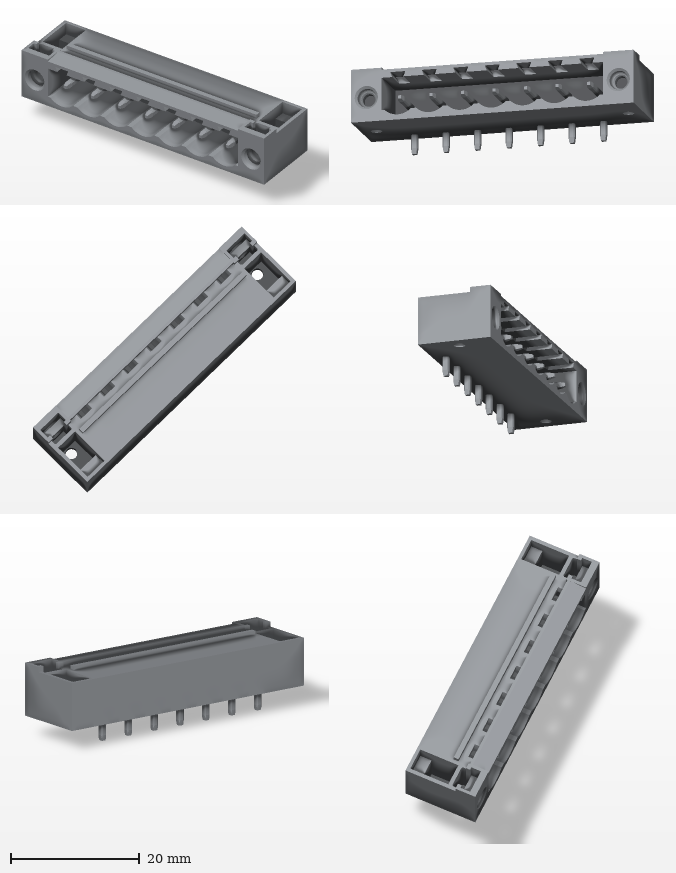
import cadquery as cq


length = 45.55
depth = 12.0
height = 8.5
half_length = length / 2
rear_drop = 0.8
deck_z = height - rear_drop
end_block_depth = 3.4

roof_depth = 3.2
roof_flat_start = 2.75
roof_fall = 0.3

rib_front = 5.2
rib_width = 0.8
rib_height = 0.7

contact_count = 7
contact_span = 30.5
pitch = contact_span / (contact_count - 1)
contact_xs = [-contact_span / 2 + i * pitch for i in range(contact_count)]
axis_z = 3.85

cavity_width = 35.67
cavity_floor_z = 1.7
cavity_ceiling_z = 6.9
cavity_depth = 8.0
scallop_radius = 3.05

groove_top_width = 2.4
groove_bottom_width = 1.78
groove_depth = 4.15

pin_size = 1.0
pin_bevel = 0.2
pin_front = 0.9
pin_drop_y = 9.95
pin_reach = 3.1
mating_tip_length = 1.2
mating_tip_size = 0.5
solder_tip_length = 0.9
solder_tip_size = 0.7

flange_x = half_length - 2.45

nut_width = 3.95
nut_front = 1.5
nut_back = 2.75
nut_slot_front = 1.1
nut_bottom_z = axis_z - nut_width / 2
neck_width = 3.0
rear_slot_width = 3.65
rear_slot_back = 4.3
rear_slot_bevel = 0.2

entry_radius = 1.85
entry_bore_radius = 1.5
thread_radius = 1.0
thread_mouth_radius = 1.25

pocket_width = 3.7
pocket_front = 4.9
pocket_back = 11.45
pocket_floor_z = 1.0
shelf_depth = 1.9
shelf_z = 5.6
mount_hole_y = 5.95
mount_hole_radius = 0.9


def box(x_middle, x_size, y_start, y_end, z_start, z_end):
    """Block centred on x_middle, between the given Y and Z limits."""
    return (
        cq.Workplane("XY", origin=(x_middle, y_start, z_start))
        .rect(x_size, y_end - y_start)
        .extrude(z_end - z_start)
        .translate((0, (y_end - y_start) / 2, 0))
    )


def rod_along_y(x, radius, y_start, y_end):
    """Round rod at the axis height, pointing to the rear."""
    return (
        cq.Workplane("XZ", origin=(x, y_start, axis_z))
        .circle(radius)
        .extrude(y_start - y_end)
    )


def cone_along_y(x, y_start, front_radius, back_radius):
    """45 degree cone at the axis height, narrowing to the rear."""
    cone = cq.Solid.makeCone(
        front_radius, back_radius, front_radius - back_radius,
        pnt=cq.Vector(x, y_start, axis_z), dir=cq.Vector(0, 1, 0),
    )
    return cq.Workplane(cone)


def make_shell():
    """Outer block of the housing with its lowered deck, roof and rib."""
    ends = box(0, length, 0, end_block_depth, 0, height)
    deck = box(0, length, 0, depth, 0, deck_z)
    over_cavity = box(0, cavity_width, 0, end_block_depth, deck_z, height)
    roof = (
        cq.Workplane("YZ", origin=(-cavity_width / 2, 0, 0))
        .moveTo(0, deck_z)
        .lineTo(0, height - roof_fall)
        .lineTo(roof_flat_start, height)
        .lineTo(roof_depth, height)
        .lineTo(roof_depth, deck_z)
        .close()
        .extrude(cavity_width)
    )
    rib = box(0, cavity_width, rib_front, rib_front + rib_width, deck_z, deck_z + rib_height)
    return ends.union(deck).cut(over_cavity).union(roof).union(rib)


def make_cavity():
    """Mating cavity: a box with one floor trough per contact."""
    cavity = box(0, cavity_width, 0, cavity_depth, cavity_floor_z, cavity_ceiling_z)
    trough_limits = box(0, cavity_width, 0, cavity_depth, 0, axis_z)
    for x in contact_xs:
        trough = rod_along_y(x, scallop_radius, 0, cavity_depth)
        cavity = cavity.union(trough.intersect(trough_limits))
    return cavity


def make_groove(x):
    """Dovetail groove from the cavity ceiling up to the deck level."""
    return (
        cq.Workplane("XZ", origin=(x, 0, 0))
        .moveTo(-groove_bottom_width / 2, cavity_ceiling_z)
        .lineTo(groove_bottom_width / 2, cavity_ceiling_z)
        .lineTo(groove_top_width / 2, deck_z)
        .lineTo(-groove_top_width / 2, deck_z)
        .close()
        .extrude(-groove_depth)
    )


def make_flange_cut(x):
    """Everything removed from one flange: nut slot, screw entry and mounting pocket."""
    nut_slot = box(x, nut_width, nut_slot_front, nut_back, nut_bottom_z, height)
    neck = box(x, neck_width, nut_back, end_block_depth, nut_bottom_z, height)
    rear_slot = box(x, rear_slot_width, end_block_depth, rear_slot_back, nut_bottom_z, height)
    rear_slot = rear_slot.edges("|Z and >Y").chamfer(rear_slot_bevel)
    entry = cone_along_y(x, 0, entry_radius, entry_bore_radius)
    entry_bore = rod_along_y(x, entry_bore_radius, 0, nut_slot_front)
    pocket = box(x, pocket_width, pocket_front, pocket_back, pocket_floor_z, deck_z)
    shelf = box(x, pocket_width, pocket_back - shelf_depth, pocket_back, pocket_floor_z, shelf_z)
    mount_hole = (
        cq.Workplane("XY", origin=(x, mount_hole_y, 0))
        .circle(mount_hole_radius)
        .extrude(pocket_floor_z)
    )
    cut = nut_slot.union(neck).union(rear_slot)
    cut = cut.union(entry).union(entry_bore)
    return cut.union(pocket.cut(shelf)).union(mount_hole)


def make_leg(leg_length, tip_length, tip_size):
    """Bevelled square bar along +Z from the origin, with a tapered tip at its far end."""
    bar = (
        cq.Workplane("XY")
        .rect(pin_size, pin_size)
        .extrude(leg_length)
        .edges("|Z")
        .chamfer(pin_bevel)
    )
    tip_base_z = leg_length - tip_length
    taper = (
        cq.Workplane("XY")
        .rect(pin_size, pin_size)
        .extrude(tip_base_z)
        .faces(">Z")
        .workplane()
        .rect(pin_size, pin_size)
        .workplane(offset=tip_length)
        .rect(tip_size, tip_size)
        .loft(combine=True)
    )
    return bar.intersect(taper)


def make_pin(x):
    """L-shaped contact pin: one leg to the mating face, one leg down through the housing."""
    corner = (x, pin_drop_y, axis_z)
    mating_leg = make_leg(pin_drop_y - pin_front, mating_tip_length, mating_tip_size)
    mating_leg = mating_leg.rotate((0, 0, 0), (1, 0, 0), 90)
    solder_leg = make_leg(axis_z + pin_reach, solder_tip_length, solder_tip_size)
    solder_leg = solder_leg.rotate((0, 0, 0), (1, 0, 0), 180)
    elbow = cq.Workplane("XY").box(pin_size, pin_size, pin_size)
    return mating_leg.union(solder_leg).union(elbow).translate(corner)


def make_nut(x):
    """Square nut with a bevelled thread mouth."""
    nut = box(x, nut_width, nut_front, nut_back, nut_bottom_z, nut_bottom_z + nut_width)
    thread = rod_along_y(x, thread_radius, nut_front, nut_back)
    mouth = cone_along_y(x, nut_front, thread_mouth_radius, thread_radius)
    return nut.cut(thread).cut(mouth)


def make_housing(pins):
    """Housing with its cavity, grooves, flange features and a close passage for every pin."""
    housing = make_shell().cut(make_cavity())
    for x in contact_xs:
        housing = housing.cut(make_groove(x))
    for side in (-1, 1):
        housing = housing.cut(make_flange_cut(side * flange_x))
    for pin in pins:
        housing = housing.cut(pin)
    return housing


pins = [make_pin(x) for x in contact_xs]
nuts = [make_nut(side * flange_x) for side in (-1, 1)]
housing = make_housing(pins)

result = cq.Compound.makeCompound(
    [housing.val()] + [pin.val() for pin in pins] + [nut.val() for nut in nuts]
)